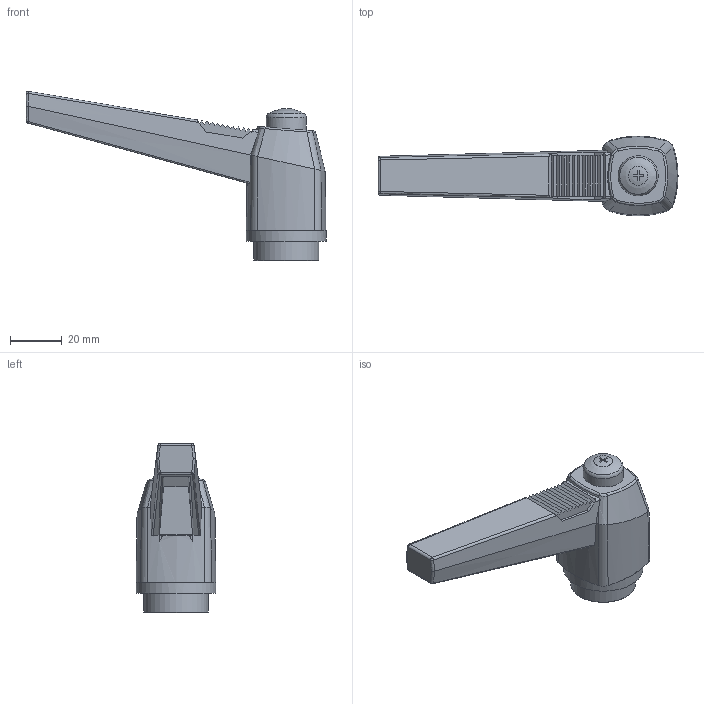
import cadquery as cq
import math

overall_height = 65.32
flange_diameter = 30.73
overall_length = 115.72
handle_tip_x = flange_diameter / 2 - overall_length

insert_diameter = 25.0
insert_height = 7.5
insert_chamfer = 0.25
flange_top_z = 11.7

seam_z = 37.75
seam_slope = 0.219
hub_top_z = 50.9
hub_top_slope = 0.078
hub_top_fillet = 0.9
hub_foot = (15.36, 11.0, 1.7)
hub_seam = (15.03, 11.0, 1.65)
hub_crown = (11.3, 7.9, 1.1)

button_diameter = 15.4
button_buried_z = 32.0
button_rim_z = 55.2
button_shoulder_radius = 7.1
button_shoulder_z = 56.6
rim_inset = 0.15
dome_bow = 0.2
screw_diameter = 7.3
screw_edge_z = 58.1
screw_step = 0.12
screw_top_z = 58.7
screw_mid_rise = 0.75
cross_length = 3.87
cross_width = 0.7
cross_depth = 1.0

handle_root_x = -9.0
tip_rounding_loss = 0.17
handle_tip_top_z = overall_height + tip_rounding_loss
handle_top_slope = 0.17
handle_bottom_slope = 0.274
handle_tip_bottom_z = 53.3
tip_half_seam = 7.5
root_half_seam = 9.98
tip_half_edge = 6.85
root_half_top = 8.9
root_half_bottom = 9.5
handle_fillet = 0.9
rim_fillet = 0.6

tip_wall = 3.0
cavity_tip_x = handle_tip_x + tip_wall
cavity_root_x = -15.2
cavity_roof_tip_z = 61.5
cavity_roof_root_z = 48.6
cavity_half_roof = 4.8
cavity_tip_half_mouth = 5.0
cavity_root_half_mouth = 6.5
cavity_overcut = 1.0

relief_inner_y = 5.0
relief_height = 2.5
relief_floor_x = -14.3

grip_start_x = -34.4
grip_end_x = -12.7
grip_half_width = 7.9
tooth_count = 10
tooth_pitch = 2.0
tooth_depth = 1.1
grip_start_gap = 0.9
patch_lower_start_x = -31.0
patch_lower_end_x = -17.0
patch_lower_drop = 4.0
patch_end_x = -13.8

OVERSIZE = 20.0


def seam_height(x):
    return seam_z - seam_slope * x


def handle_top(x):
    return handle_tip_top_z - handle_top_slope * (x - handle_tip_x)


def handle_bottom(x):
    return handle_tip_bottom_z - handle_bottom_slope * (x - handle_tip_x)


def hub_outline(size, axis_z, slope):
    """Closed wire of four bowed sides and four tangent corner arcs on a tilted plane."""
    half_width, half_chord, bow = size
    chord_y = half_width - bow
    side_end_angle = 2 * math.atan(bow / half_chord)
    corner_half_chord = (chord_y - half_chord) / math.sqrt(2)
    corner_turn = math.pi / 2 - 2 * side_end_angle
    corner_rise = corner_half_chord * math.tan(corner_turn / 4)
    corner_mid = (chord_y + half_chord) / 2 + corner_rise / math.sqrt(2)
    quarter = [(half_chord, chord_y), (0, half_width), (-half_chord, chord_y), (-corner_mid, corner_mid)]

    def tilted(x, y):
        return cq.Vector(x, y, axis_z - slope * x)

    points = []
    for turn in range(4):
        for x, y in quarter:
            for _ in range(turn):
                x, y = -y, x
            points.append(tilted(x, y))
    points.append(points[0])
    arcs = [cq.Edge.makeThreePointArc(*points[i:i + 3]) for i in range(0, len(points) - 1, 2)]
    return cq.Wire.assembleEdges(arcs)


def make_hub():
    foot = hub_outline(hub_foot, flange_top_z, 0.0)
    seam = hub_outline(hub_seam, seam_z, seam_slope)
    crown = hub_outline(hub_crown, hub_top_z, hub_top_slope)
    hub = cq.Workplane(cq.Solid.makeLoft([foot, seam, crown], True))
    return hub.faces(">Z").edges().fillet(hub_top_fillet)


def make_base():
    insert = cq.Workplane().circle(insert_diameter / 2).extrude(insert_height)
    insert = insert.faces("<Z").chamfer(insert_chamfer)
    flange = cq.Workplane(origin=(0, 0, insert_height)).circle(flange_diameter / 2)
    return insert.union(flange.extrude(flange_top_z - insert_height))


def make_button():
    radius = button_diameter / 2
    screw_radius = screw_diameter / 2
    seat_z = screw_edge_z - screw_step
    rim_mid = (radius - rim_inset, (button_rim_z + button_shoulder_z) / 2)
    dome_mid = ((button_shoulder_radius + screw_radius) / 2, (button_shoulder_z + seat_z) / 2 + dome_bow)
    screw_mid = (screw_radius / 2, screw_edge_z + screw_mid_rise * (screw_top_z - screw_edge_z))
    profile = (
        cq.Workplane("XZ")
        .moveTo(0, button_buried_z)
        .lineTo(radius, button_buried_z)
        .lineTo(radius, button_rim_z)
        .threePointArc(rim_mid, (button_shoulder_radius, button_shoulder_z))
        .threePointArc(dome_mid, (screw_radius, seat_z))
        .lineTo(screw_radius, screw_edge_z)
        .threePointArc(screw_mid, (0, screw_top_z))
        .close()
    )
    button = profile.revolve(360, (0, 0, 0), (0, 1, 0))
    recess = cq.Workplane(origin=(0, 0, screw_top_z - cross_depth))
    for angle in (0, 90):
        arm = recess.transformed(rotate=(0, 0, angle)).rect(cross_length, cross_width)
        button = button.cut(arm.extrude(OVERSIZE))
    return button


def section(x, right_half):
    """Closed polygon across the handle at x from its +Y points, listed bottom to top."""
    mirrored = [(-y, z) for y, z in reversed(right_half)]
    points = [cq.Vector(x, y, z) for y, z in right_half + mirrored]
    return cq.Wire.makePolygon(points, close=True)


def handle_section(x, half_bottom, half_seam, half_top):
    return section(x, [
        (half_bottom, handle_bottom(x)),
        (half_seam, seam_height(x)),
        (half_top, handle_top(x)),
    ])


def make_handle():
    tip = handle_section(handle_tip_x, tip_half_edge, tip_half_seam, tip_half_edge)
    root = handle_section(handle_root_x, root_half_bottom, root_half_seam, root_half_top)
    handle = cq.Workplane(cq.Solid.makeLoft([tip, root], True))
    top_face = handle.faces("not <X").faces(">Z")
    handle = top_face.add(handle.faces("<X")).edges("not >X").fillet(handle_fillet)
    handle = handle.cut(make_cavity())
    steep_down = -0.9
    downward = handle.faces().filter(lambda face: face.normalAt().z < steep_down)
    return downward.faces("<Z").edges("not (>X or >>X[-2])").fillet(rim_fillet)


def make_cavity():
    def cavity_section(x, half_mouth, roof_z):
        return section(x, [(half_mouth, handle_bottom(x) - cavity_overcut), (cavity_half_roof, roof_z)])

    tip = cavity_section(cavity_tip_x, cavity_tip_half_mouth, cavity_roof_tip_z)
    root = cavity_section(cavity_root_x, cavity_root_half_mouth, cavity_roof_root_z)
    return cq.Workplane(cq.Solid.makeLoft([tip, root], True))


def make_reliefs():
    top_z = handle_bottom(cavity_root_x)
    reliefs = cq.Workplane()
    for side in (-1, 1):
        corners = [
            (side * relief_inner_y, top_z),
            (side * cavity_root_half_mouth, top_z),
            (side * cavity_root_half_mouth, top_z - relief_height),
        ]
        triangle = cq.Workplane("YZ", origin=(relief_floor_x, 0, 0)).polyline(corners).close()
        reliefs = reliefs.add(triangle.extrude(-OVERSIZE))
    return reliefs.combine()


def make_grip_cut():
    """Material removed to leave the saw teeth and the two flat side patches."""
    first_valley_x = grip_start_x + grip_start_gap
    teeth = [
        (grip_start_x, handle_top(grip_start_x)),
        (first_valley_x, handle_top(first_valley_x) - tooth_depth),
    ]
    for index in range(tooth_count):
        valley_x = first_valley_x + index * tooth_pitch
        peak_x = valley_x + tooth_pitch / 2
        next_valley_x = valley_x + tooth_pitch
        teeth.append((peak_x, handle_top(peak_x)))
        teeth.append((next_valley_x, handle_top(next_valley_x) - tooth_depth))
    teeth.append((grip_end_x, handle_top(grip_end_x)))
    clear_z = handle_top(grip_start_x) + OVERSIZE
    above = [(grip_end_x, clear_z), (grip_start_x, clear_z)]
    tooth_cut = cq.Workplane("XZ").polyline(teeth + above).close().extrude(OVERSIZE, both=True)

    patch = [
        (grip_start_x, handle_top(grip_start_x)),
        (patch_lower_start_x, handle_top(patch_lower_start_x) - patch_lower_drop),
        (patch_lower_end_x, handle_top(patch_lower_end_x) - patch_lower_drop),
        (patch_end_x, handle_top(patch_end_x) - tooth_depth),
        (patch_end_x, clear_z),
        (grip_start_x, clear_z),
    ]
    patch_cut = cq.Workplane("XZ").polyline(patch).close().extrude(OVERSIZE, both=True)
    core = cq.Workplane().box(-2 * handle_tip_x, 2 * grip_half_width, 2 * overall_height)
    return tooth_cut.union(patch_cut.cut(core))


handle = make_handle().cut(make_grip_cut())
body = make_hub().cut(make_reliefs()).union(handle)
result = body.union(make_base()).union(make_button())